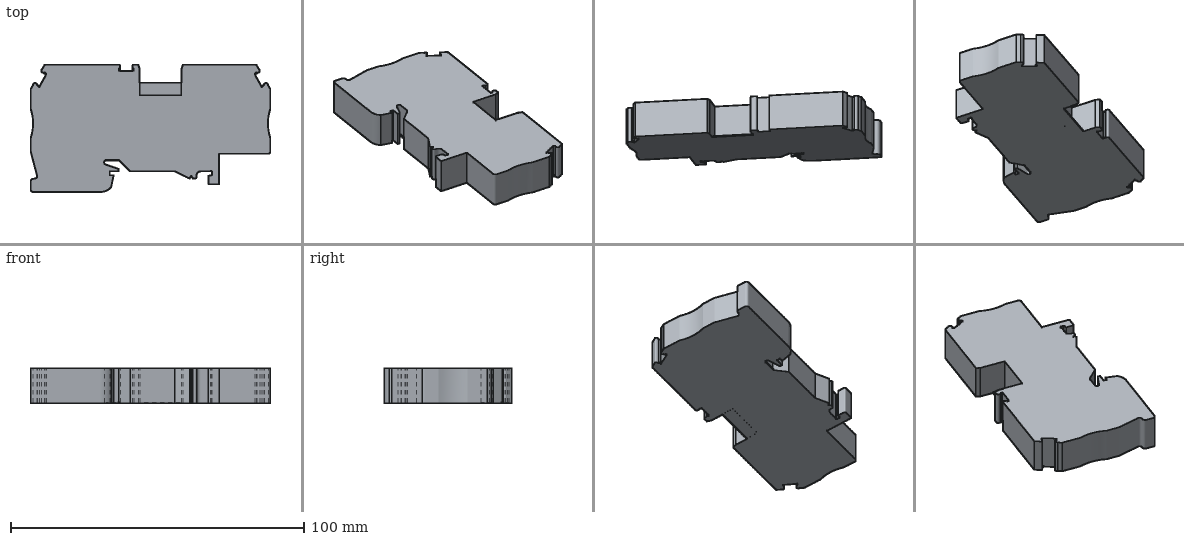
import cadquery as cq
import math

length = 81.8
height = 43.5
width = 12.0
base_thickness = 0.4

rail_seat_y = 7.0
rail_lip_y = 5.8
slit_top_y = 11.0
slit_inner_x = 25.8
slit_web_height = 0.25
wing_y = 13.0

foot_radius = 4.75
foot_arc_center_x = 23.9
foot_arc_end = math.radians(-40)
foot_corner_radius = 0.9
rail_gap_x = 27.1
claw_tip_x = 30.0

hook_left_x = 60.6
hook_right_x = 64.3
hook_bottom_y = 2.6
hook_corner_radius = 0.4
slot_end_x = 61.8
wing_corner_radius = 0.8

catch_bottom_y = 4.6
catch_right_x = 56.6

waist_top_y = 28.4
waist_bottom_y = 18.5
waist_depth = 0.8

corner_hook_x = 4.8
ear_bottom_y = 35.2
hook_undercut = [(4.6, 40.6), (4.9, 40.8), (5.4, 40.3)]
ear_undercut = [(2.95, 35.9), (2.5, 36.15), (2.2, 36.5), (2.1, 36.9)]
hook_web_end = (5.15, 39.9)

notch_left_x = 37.2
notch_right_x = 51.45
notch_floor_y = 33.0
ledge_top_y = 37.4
notch_lead_in = 0.5
notch_lead_in_height = 1.5

socket_left_x = 30.0
socket_right_x = 35.25
socket_floor_y = 41.3
socket_lip = 0.53
socket_lip_y = 42.45
socket_round = 0.6

margin = 1.6
full_depth = width - base_thickness


def arc_inset(radius):
    """Distance from a square corner's sides to the middle of its rounding."""
    return radius * (1 - math.sqrt(0.5))


def prism(points, bottom, depth):
    """Straight-sided block on a closed polygon."""
    return cq.Workplane("XY").workplane(offset=bottom).polyline(points).close().extrude(depth)


def at_both_ends(shape):
    """The shape at the left end together with its mirror image at the right end."""
    opposite = shape.mirror("YZ").translate((length, 0, 0))
    return shape.union(opposite)


def make_blank():
    """Housing with the complete underside but with plain ends and a plain top."""
    r = foot_corner_radius
    diagonal = arc_inset(r)
    arc_mid = (foot_arc_end - math.pi / 2) / 2
    foot_mid = (
        foot_arc_center_x + foot_radius * math.cos(arc_mid),
        foot_radius + foot_radius * math.sin(arc_mid),
    )
    foot_end = (
        foot_arc_center_x + foot_radius * math.cos(foot_arc_end),
        foot_radius + foot_radius * math.sin(foot_arc_end),
    )
    wing_r = wing_corner_radius
    wing_diagonal = arc_inset(wing_r)
    hook_r = hook_corner_radius
    hook_diagonal = arc_inset(hook_r)
    outline = (
        cq.Workplane("XY")
        .moveTo(0, height)
        .lineTo(0, 13.8)
        .lineTo(2.1, 5.8)
        .threePointArc((2.1, 5.1), (1.55, 4.7))
        .lineTo(0.9, 4.6)
        .threePointArc((0.25, 4.25), (0, 3.6))
        .lineTo(0, r)
        .threePointArc((diagonal, diagonal), (r, 0))
        .lineTo(foot_arc_center_x, 0)
        .threePointArc(foot_mid, foot_end)
        .lineTo(28.4, rail_lip_y)
        .lineTo(rail_gap_x, rail_lip_y)
        .lineTo(rail_gap_x, rail_seat_y)
        .lineTo(claw_tip_x, rail_seat_y)
        .lineTo(claw_tip_x, 7.9)
        .lineTo(25.7, 9.4)
        .threePointArc((25.1, 10.15), (slit_inner_x, slit_top_y))
        .lineTo(claw_tip_x, slit_top_y)
        .lineTo(claw_tip_x + slit_top_y - rail_seat_y, rail_seat_y)
        .lineTo(49.2, rail_seat_y)
        .lineTo(54.2, catch_bottom_y)
        .lineTo(54.7, 5.6)
        .lineTo(55.4, catch_bottom_y)
        .lineTo(56.1, catch_bottom_y)
        .threePointArc((56.4, 4.75), (catch_right_x, 5.1))
        .lineTo(catch_right_x, 5.65)
        .threePointArc((57.0, 6.6), (58.0, rail_seat_y))
        .lineTo(61.35, rail_seat_y)
        .lineTo(61.6, 7.3)
        .lineTo(slot_end_x, rail_seat_y)
        .lineTo(slot_end_x, rail_lip_y)
        .lineTo(hook_left_x, 5.6)
        .lineTo(hook_left_x, hook_bottom_y + hook_r)
        .threePointArc(
            (hook_left_x + hook_diagonal, hook_bottom_y + hook_diagonal),
            (hook_left_x + hook_r, hook_bottom_y),
        )
        .lineTo(hook_right_x, hook_bottom_y)
        .lineTo(hook_right_x, wing_y)
        .lineTo(length - wing_r, wing_y)
        .threePointArc(
            (length - wing_diagonal, wing_y + wing_diagonal),
            (length, wing_y + wing_r),
        )
        .lineTo(length, height)
        .close()
    )
    return outline.extrude(width)


def make_waist_cutter():
    """Upright cylinder whose edge dips into the left end."""
    half_chord = (waist_top_y - waist_bottom_y) / 2
    radius = (half_chord**2 + waist_depth**2) / (2 * waist_depth)
    center_y = (waist_top_y + waist_bottom_y) / 2
    return cq.Workplane("XY").center(waist_depth - radius, center_y).circle(radius).extrude(width)


def make_corner_cutter():
    """Space outside the top left corner: a hook above, an ear below, a sloped face between."""
    outline = (
        cq.Workplane("XY")
        .moveTo(-margin, height + margin)
        .lineTo(corner_hook_x, height + margin)
        .lineTo(corner_hook_x, height)
        .lineTo(3.8, 41.7)
        .threePointArc((3.6, 41.2), (3.9, 40.8))
    )
    for x, y in hook_undercut + ear_undercut:
        outline = outline.lineTo(x, y)
    outline = (
        outline
        .threePointArc((1.5, 37.2), (0.8, 36.6))
        .lineTo(0, ear_bottom_y)
        .lineTo(-margin, ear_bottom_y)
        .close()
    )
    return outline.extrude(width)


def make_corner_webs():
    """Base wall closing the undercuts behind the hook and the ear."""
    hook_web = prism(hook_undercut + [hook_web_end], 0, base_thickness)
    ear_web = prism(ear_undercut, 0, base_thickness)
    return hook_web.union(ear_web)


def make_notch_cutter():
    """Wide notch, slightly flared at the top, that leaves the ledge standing."""
    opening = [
        (notch_left_x, notch_floor_y),
        (notch_right_x, notch_floor_y),
        (notch_right_x, height - notch_lead_in_height),
        (notch_right_x + notch_lead_in, height),
        (notch_right_x + notch_lead_in, height + margin),
        (notch_left_x - notch_lead_in, height + margin),
        (notch_left_x - notch_lead_in, height),
        (notch_left_x, height - notch_lead_in_height),
    ]
    ledge = [
        (notch_left_x, notch_floor_y),
        (notch_right_x, notch_floor_y),
        (notch_right_x, ledge_top_y),
        (notch_left_x, ledge_top_y),
    ]
    return prism(opening, 0, width).cut(prism(ledge, 0, base_thickness))


def make_socket_cutter():
    """Socket with rounded lips; its undercuts stop at the base wall."""
    mouth_left = socket_left_x + socket_lip
    mouth_right = socket_right_x - socket_lip
    round_y = height - socket_round
    bend = arc_inset(socket_round)
    mouth = (
        cq.Workplane("XY")
        .moveTo(mouth_left, socket_floor_y)
        .lineTo(mouth_right, socket_floor_y)
        .lineTo(mouth_right, round_y)
        .threePointArc((mouth_right + bend, height - bend), (mouth_right + socket_round, height))
        .lineTo(mouth_left - socket_round, height)
        .threePointArc((mouth_left - bend, height - bend), (mouth_left, round_y))
        .close()
        .extrude(width)
    )
    undercut_y = socket_lip_y - socket_lip
    undercut = [
        (socket_left_x, socket_floor_y),
        (socket_right_x, socket_floor_y),
        (socket_right_x, undercut_y),
        (mouth_right, socket_lip_y),
        (mouth_left, socket_lip_y),
        (socket_left_x, undercut_y),
    ]
    return mouth.union(prism(undercut, base_thickness, full_depth))


def make_slit_web():
    """Narrow strip of the base wall along the upper side of the slit."""
    strip_points = [
        (slit_inner_x, slit_top_y),
        (claw_tip_x, slit_top_y),
        (claw_tip_x + slit_web_height, slit_top_y - slit_web_height),
        (slit_inner_x, slit_top_y - slit_web_height),
    ]
    return prism(strip_points, 0, base_thickness)


result = (
    make_blank()
    .cut(at_both_ends(make_waist_cutter()))
    .cut(at_both_ends(make_corner_cutter()))
    .cut(make_notch_cutter())
    .cut(make_socket_cutter())
    .union(at_both_ends(make_corner_webs()))
    .union(make_slit_web())
)